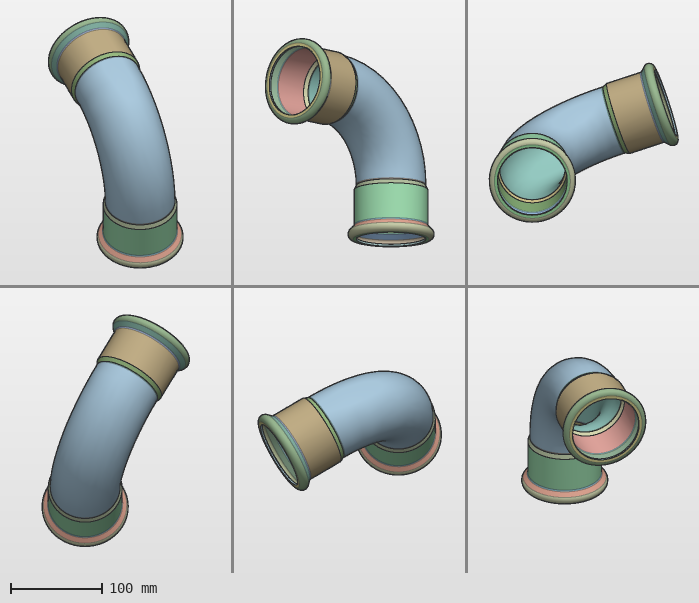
import cadquery as cq
import math


overall_length = 201.3
bead_diameter = 94.5
bead_radius = bead_diameter / 2
socket_radius = 40.5
tube_radius = 38.2
wall = 2.5

bead_round = 5.6
blend_radius = 2.5
blend_end = 16.0
socket_end = 54.8
taper_end = 59.5
bend_start = 60.8

cone_normal = 45
bead_middle = 112.5
blend_cone_side = 225
blend_middle = 247.5

axis_position = overall_length - bead_radius
bend_radius = axis_position - bend_start
bead_center_radius = bead_radius - bead_round
bore_radius = socket_radius - wall
bore_blend = 1.6
tube_bore_radius = tube_radius - wall


def arc_point(center, radius, angle):
    """Point on an arc at the given angle in degrees from the socket axis direction."""
    turn = math.radians(angle)
    return (center[0] + radius * math.cos(turn), center[1] + radius * math.sin(turn))


def socket_profile(plane):
    """Half section of the socket wall; local x is the axis, local y the radius."""
    bead_center = (bead_round, bead_center_radius)
    blend_center = (blend_end, socket_radius + blend_radius)
    groove_round = bead_round - wall
    cone_inner_end = arc_point(bead_center, groove_round, cone_normal)
    bore_blend_start = (
        cone_inner_end[0] + cone_inner_end[1] - bore_radius
        + bore_blend * math.tan(math.radians(cone_normal / 2))
    )
    bore_blend_center = (bore_blend_start, bore_radius + bore_blend)
    return (
        cq.Workplane(plane)
        .moveTo(0, bore_radius)
        .lineTo(0, bead_center_radius)
        .threePointArc(
            arc_point(bead_center, bead_round, bead_middle),
            arc_point(bead_center, bead_round, cone_normal),
        )
        .lineTo(*arc_point(blend_center, blend_radius, blend_cone_side))
        .threePointArc(arc_point(blend_center, blend_radius, blend_middle), (blend_end, socket_radius))
        .lineTo(socket_end, socket_radius)
        .lineTo(taper_end, tube_radius)
        .lineTo(bend_start, tube_radius)
        .lineTo(bend_start, tube_bore_radius)
        .lineTo(taper_end, tube_bore_radius)
        .lineTo(socket_end, bore_radius)
        .lineTo(bore_blend_start, bore_radius)
        .threePointArc(
            arc_point(bore_blend_center, bore_blend, blend_middle),
            arc_point(bore_blend_center, bore_blend, blend_cone_side),
        )
        .lineTo(*cone_inner_end)
        .threePointArc(arc_point(bead_center, groove_round, bead_middle), (wall, bead_center_radius))
        .lineTo(wall, bore_radius)
        .close()
    )


def socket(mouth_center, axis, side):
    """Socket revolved about its axis, starting at the center of its mouth."""
    normal = cq.Vector(*axis).cross(cq.Vector(*side))
    plane = cq.Plane(origin=mouth_center, xDir=axis, normal=normal)
    return socket_profile(plane).revolve(360, (0, 0), (1, 0))


def bend():
    """Quarter-turn tube joining the two sockets."""
    section = cq.Workplane("YZ", origin=(bend_start, 0, axis_position))
    ring = section.circle(tube_radius).circle(tube_bore_radius)
    return ring.revolve(90, (-2, -bend_radius), (2, -bend_radius))


horizontal_socket = socket((0, 0, axis_position), (1, 0, 0), (0, 0, 1))
vertical_socket = socket((axis_position, 0, 0), (0, 0, 1), (1, 0, 0))
result = horizontal_socket.union(bend()).union(vertical_socket)